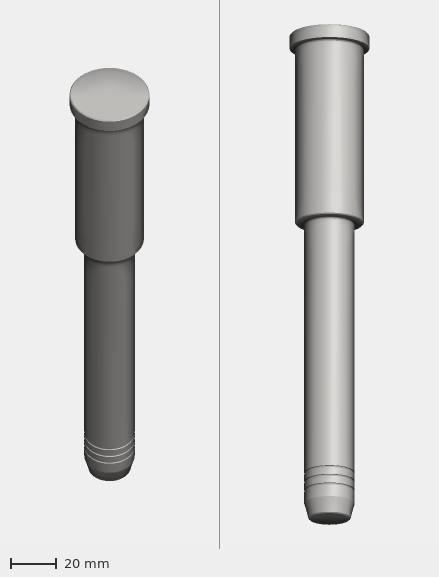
import cadquery as cq

total_length = 221.0

head_diameter = 35.0
head_thickness = 6.0
head_chamfer = 0.5

sleeve_diameter = 30.0
sleeve_length = 80.0
sleeve_chamfer = 0.5

shank_diameter = 22.0

tip_length = 7.0
tip_end_diameter = 18.3
tip_chamfer = 0.5
tip_hollow = 0.09

groove_count = 3
groove_pitch = 4.0
groove_radius = 0.5
lowest_groove_center = 12.8

head_bottom = total_length - head_thickness
sleeve_bottom = head_bottom - sleeve_length


def make_disc(diameter, bottom, height):
    return cq.Workplane("XY").workplane(offset=bottom).circle(diameter / 2).extrude(height)


def make_head():
    head = make_disc(head_diameter, head_bottom, head_thickness)
    return head.faces(">Z").chamfer(head_chamfer)


def make_sleeve():
    sleeve = make_disc(sleeve_diameter, sleeve_bottom, sleeve_length)
    return sleeve.faces("<Z").chamfer(sleeve_chamfer)


def make_shank():
    """Shank whose lower end narrows to the tip along a slightly hollow arc."""
    shank_radius = shank_diameter / 2
    tip_radius = tip_end_diameter / 2
    arc_middle = ((shank_radius + tip_radius) / 2 - tip_hollow, tip_length / 2)
    profile = (
        cq.Workplane("XZ")
        .lineTo(tip_radius, 0)
        .threePointArc(arc_middle, (shank_radius, tip_length))
        .lineTo(shank_radius, sleeve_bottom)
        .lineTo(0, sleeve_bottom)
        .close()
    )
    shank = profile.revolve(360, (0, 0, 0), (0, 1, 0))
    return shank.faces("<Z").chamfer(tip_chamfer)


def make_round_groove(diameter, center):
    """Ring that cuts a half-round groove into a cylinder of the given diameter."""
    section = cq.Workplane("XZ").center(diameter / 2, center).circle(groove_radius)
    return section.revolve(360, (-diameter / 2, 0, 0), (-diameter / 2, 1, 0))


pin = make_shank().union(make_sleeve()).union(make_head())

for index in range(groove_count):
    pin = pin.cut(make_round_groove(shank_diameter, lowest_groove_center + index * groove_pitch))

pin = pin.cut(make_round_groove(sleeve_diameter, head_bottom - groove_radius))
pin = pin.cut(make_round_groove(shank_diameter, sleeve_bottom - groove_radius))

result = pin